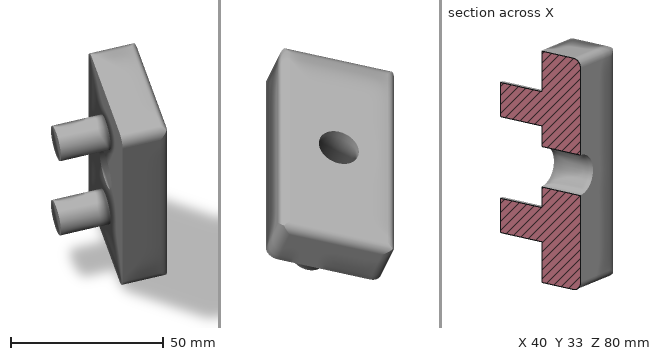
import cadquery as cq

width = 40.0
height = 80.0
thickness = 16.0
corner_radius = 4.0
back_edge_radius = 3.0

peg_diameter = 12.0
peg_length = 17.0
peg_spacing = height / 2
hole_diameter = 13.835


def make_block():
    """Square-edged plate with its front face at Y = 0 and its back toward +Y."""
    return cq.Workplane("XY").box(width, thickness, height).translate((0, thickness / 2, 0))


def make_plate():
    """Plate with rounded corners, where the straight back roundings meet in mitred seams."""
    rounded_corners = make_block().edges("|Y").fillet(corner_radius)
    rounded_sides = make_block().edges(">Y and |Z").fillet(back_edge_radius)
    rounded_ends = make_block().edges(">Y and |X").fillet(back_edge_radius)
    return rounded_corners.intersect(rounded_sides).intersect(rounded_ends)


def make_pegs():
    """Two round pegs standing out of the front face toward -Y."""
    peg_centres = [(0, -peg_spacing / 2), (0, peg_spacing / 2)]
    return cq.Workplane("XZ").pushPoints(peg_centres).circle(peg_diameter / 2).extrude(peg_length)


def make_hole():
    """Cutter for the central hole through the full plate thickness."""
    return cq.Workplane("XZ").circle(hole_diameter / 2).extrude(-thickness)


result = make_plate().union(make_pegs()).cut(make_hole())